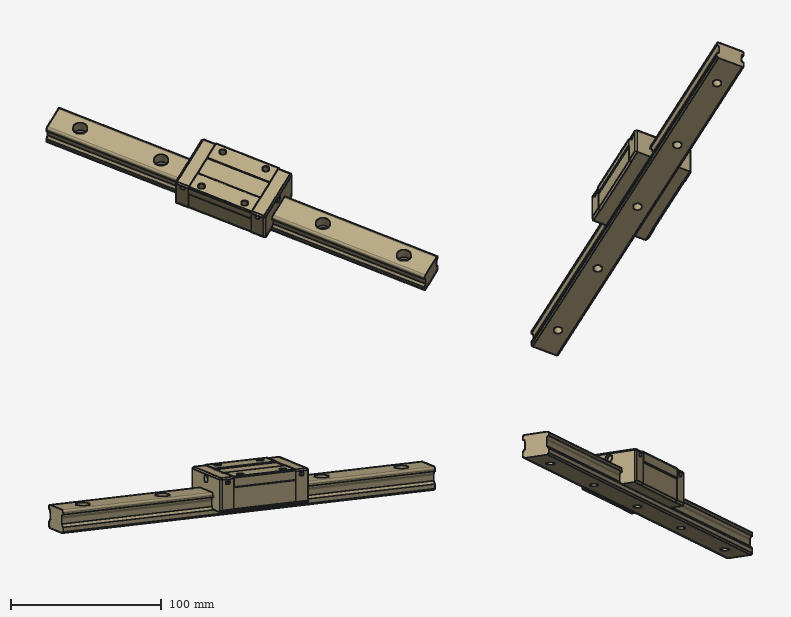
import cadquery as cq
import math

RAIL_LENGTH = 280.0
RAIL_HEIGHT = 16.0
RAIL_WIDTH = 20.0
RAIL_HALF_WIDTH = RAIL_WIDTH / 2
RAIL_TOP_ROUND = 1.7
RAIL_BOTTOM_CHAMFER = 1.0
WAIST_WIDTH = 16.5
WAIST_HALF_WIDTH = WAIST_WIDTH / 2
GROOVE_TOP_Z = 13.0
GROOVE_BOTTOM_Z = 11.2
GROOVE_WIDTH = 16.8
GROOVE_HALF_WIDTH = GROOVE_WIDTH / 2
WAIST_TOP_Z = 10.5
WAIST_BOTTOM_Z = 6.2
FOOT_TOP_Z = 4.2

RAIL_HOLE_COUNT = 5
RAIL_HOLE_PITCH = 60.0
RAIL_HOLE_DIAMETER = 6.0
COUNTERBORE_DIAMETER = 9.5
COUNTERBORE_DEPTH = 8.5

CARRIAGE_CENTER_X = -6.2
CARRIAGE_LENGTH = 66.5
CARRIAGE_WIDTH = 42.0
CARRIAGE_TOP_Z = 28.0
CARRIAGE_BOTTOM_Z = 4.5
MIDDLE_LENGTH = 46.5
CAP_LENGTH = (CARRIAGE_LENGTH - MIDDLE_LENGTH) / 2
CAP_INSET = 0.3
CAP_DROP = 0.3
CAP_TOP_CHAMFER = 1.0
CAP_SIDE_CHAMFER = 1.0
BOTTOM_CHAMFER = 1.5
MIDDLE_TOP_CHAMFER = 0.8

TOP_RECESS_WIDTH = 14.3
TOP_RECESS_DEPTH = 0.8
FLANK_RELIEF_TOP_Z = 21.0
FLANK_RELIEF_DEPTH = 0.5

MOUNT_SPACING = 32.0
MOUNT_DIAMETER = 4.2
MOUNT_MOUTH_DIAMETER = 4.8
MOUNT_MOUTH_ANGLE = 90
MOUNT_DEPTH = 7.0

END_PORT_DIAMETER = 5.0
END_PORT_Z = 23.5
SIDE_PORT_DIAMETER = 3.0
SIDE_PORT_Z = 24.5
SIDE_PORT_FROM_END = 5.5
PORT_DEPTH = 2.8


def rail_bar():
    """The rail without its holes; its outline is also the channel through the carriage."""
    groove_depth = RAIL_HALF_WIDTH - GROOVE_HALF_WIDTH
    groove_height = GROOVE_TOP_Z - GROOVE_BOTTOM_Z
    groove_mid = (
        GROOVE_HALF_WIDTH + groove_depth * (1 - math.sqrt(0.5)),
        GROOVE_BOTTOM_Z + groove_height * math.sqrt(0.5),
    )
    half = (
        cq.Workplane("YZ").moveTo(0, 0)
        .lineTo(RAIL_HALF_WIDTH - RAIL_BOTTOM_CHAMFER, 0)
        .lineTo(RAIL_HALF_WIDTH, RAIL_BOTTOM_CHAMFER)
        .lineTo(RAIL_HALF_WIDTH, FOOT_TOP_Z)
        .lineTo(WAIST_HALF_WIDTH, WAIST_BOTTOM_Z)
        .lineTo(WAIST_HALF_WIDTH, WAIST_TOP_Z)
        .lineTo(GROOVE_HALF_WIDTH, GROOVE_BOTTOM_Z)
        .threePointArc(groove_mid, (RAIL_HALF_WIDTH, GROOVE_TOP_Z))
        .lineTo(RAIL_HALF_WIDTH, RAIL_HEIGHT - RAIL_TOP_ROUND)
        .tangentArcPoint((RAIL_HALF_WIDTH - RAIL_TOP_ROUND, RAIL_HEIGHT), relative=False)
        .lineTo(0, RAIL_HEIGHT)
    )
    return half.mirrorY().extrude(RAIL_LENGTH / 2, both=True)


def make_rail():
    return (
        rail_bar().faces(">Z").workplane(origin=(0, 0, RAIL_HEIGHT))
        .rarray(RAIL_HOLE_PITCH, 2.8, RAIL_HOLE_COUNT, 1)
        .cboreHole(RAIL_HOLE_DIAMETER, COUNTERBORE_DIAMETER, COUNTERBORE_DEPTH)
    )


def make_end_cap(side):
    """An end cap with bevelled outer edges; side is -1 or 1 along X."""
    cap_height = CARRIAGE_TOP_Z - CAP_DROP - CARRIAGE_BOTTOM_Z
    cap_x = CARRIAGE_CENTER_X + side * (MIDDLE_LENGTH + CAP_LENGTH) / 2
    cap = (
        cq.Workplane("XY")
        .box(CAP_LENGTH, CARRIAGE_WIDTH - 2 * CAP_INSET, cap_height, centered=(True, True, False))
        .translate((cap_x, 0, CARRIAGE_BOTTOM_Z))
    )
    outer, inner = (">X", "<X") if side > 0 else ("<X", ">X")
    cap = cap.faces("<Z").edges("|X").chamfer(BOTTOM_CHAMFER)
    cap = cap.faces(outer).edges("|Z").chamfer(CAP_SIDE_CHAMFER)
    return cap.faces(">Z").edges("not " + inner).chamfer(CAP_TOP_CHAMFER)


def make_middle():
    half_width = CARRIAGE_WIDTH / 2
    flank_y = half_width - FLANK_RELIEF_DEPTH
    floor_z = CARRIAGE_TOP_Z - TOP_RECESS_DEPTH
    half = (
        cq.Workplane("YZ", origin=(CARRIAGE_CENTER_X, 0, 0)).moveTo(0, CARRIAGE_BOTTOM_Z)
        .lineTo(flank_y - BOTTOM_CHAMFER, CARRIAGE_BOTTOM_Z)
        .lineTo(flank_y, CARRIAGE_BOTTOM_Z + BOTTOM_CHAMFER)
        .lineTo(flank_y, FLANK_RELIEF_TOP_Z - FLANK_RELIEF_DEPTH)
        .lineTo(half_width, FLANK_RELIEF_TOP_Z)
        .lineTo(half_width, CARRIAGE_TOP_Z - MIDDLE_TOP_CHAMFER)
        .lineTo(half_width - MIDDLE_TOP_CHAMFER, CARRIAGE_TOP_Z)
        .lineTo(TOP_RECESS_WIDTH / 2, CARRIAGE_TOP_Z)
        .lineTo(TOP_RECESS_WIDTH / 2, floor_z)
        .lineTo(0, floor_z)
    )
    return half.mirrorY().extrude(MIDDLE_LENGTH / 2, both=True)


def drill_mount_holes(carriage):
    return (
        carriage.faces(">Z").workplane(origin=(CARRIAGE_CENTER_X, 0, CARRIAGE_TOP_Z))
        .rarray(MOUNT_SPACING, MOUNT_SPACING, 2, 2)
        .cskHole(MOUNT_DIAMETER, MOUNT_MOUTH_DIAMETER, MOUNT_MOUTH_ANGLE, MOUNT_DEPTH)
    )


def end_port(side):
    end_x = CARRIAGE_CENTER_X + side * CARRIAGE_LENGTH / 2
    return (
        cq.Workplane("YZ", origin=(end_x, 0, END_PORT_Z))
        .circle(END_PORT_DIAMETER / 2).extrude(-side * PORT_DEPTH)
    )


def side_port(side, flank):
    port_x = CARRIAGE_CENTER_X + side * (CARRIAGE_LENGTH / 2 - SIDE_PORT_FROM_END)
    flank_y = flank * CARRIAGE_WIDTH / 2
    return (
        cq.Workplane("XZ", origin=(port_x, flank_y, SIDE_PORT_Z))
        .circle(SIDE_PORT_DIAMETER / 2).extrude(flank * PORT_DEPTH)
    )


def make_carriage():
    carriage = make_middle()
    for side in (-1, 1):
        carriage = carriage.union(make_end_cap(side))
    carriage = carriage.cut(rail_bar())
    carriage = drill_mount_holes(carriage)
    for side in (-1, 1):
        carriage = carriage.cut(end_port(side))
        for flank in (-1, 1):
            carriage = carriage.cut(side_port(side, flank))
    return carriage


rail = make_rail()
carriage = make_carriage()
result = cq.Compound.makeCompound([rail.solids().val(), carriage.solids().val()])